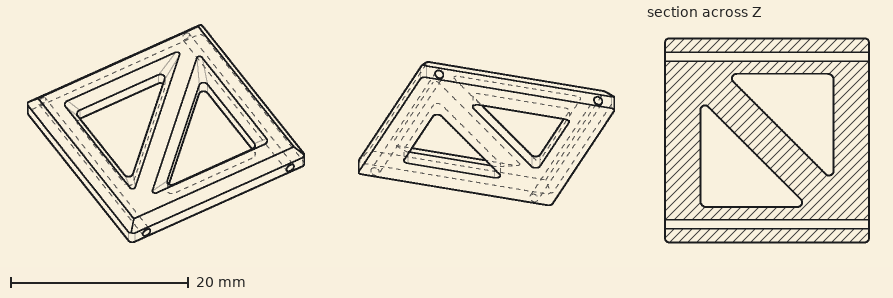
import cadquery as cq
import math

side = 23
height = 2.7
top_side = 21.0
bevel_width = (side - top_side) / 2
bevel_height = 1.2
wall_height = height - bevel_height
frame_corner_radius = 0.5

opening_half_side = 8.49
rib_width = 2.0
opening_corner_radius = 0.65
lower_tip_radius = 0.5
upper_tip_radius = 0.32

position_tolerance = 0.0002

hole_diameter = 1.0
hole_offset = 9.43
hole_height = 0.7


def rounded_triangle(inset, z, corner_radius, tip_radius):
    """Upper-right opening outline, with every edge moved inward by inset.

    The right-angled corner and the two acute tips have their own radii.
    """
    edge = opening_half_side - inset
    rib_intercept = math.sqrt(2) * (rib_width / 2 + inset)
    tip = rib_intercept - edge
    corners = [(edge, edge, z), (tip, edge, z), (edge, tip, z)]
    outline = cq.Wire.makePolygon([cq.Vector(*corner) for corner in corners], close=True)
    right_angle = [v for v in outline.Vertices() if abs(v.X - v.Y) < position_tolerance]
    outline = outline.fillet2D(corner_radius, right_angle)
    tips = [v for v in outline.Vertices() if min(v.X, v.Y) < tip + position_tolerance]
    return outline.fillet2D(tip_radius, tips)


def frame_blank():
    """Square plate with rounded upright corners, topped by a sharp-edged bevel."""
    plate = cq.Workplane("XY").rect(side, side).extrude(height).edges("|Z").fillet(frame_corner_radius)
    base = cq.Workplane("XY").rect(side, side).extrude(wall_height)
    bevel = (
        cq.Workplane("XY").workplane(offset=wall_height).rect(side, side)
        .workplane(offset=bevel_height).rect(top_side, top_side).loft(ruled=True)
    )
    return plate.intersect(base.union(bevel))


def opening():
    """Straight triangular hole that flares out towards the top face."""
    bottom, waist = [
        rounded_triangle(bevel_width, z, opening_corner_radius, lower_tip_radius)
        for z in (0, wall_height)
    ]
    top = rounded_triangle(0, height, opening_corner_radius, upper_tip_radius)
    straight = cq.Solid.makeLoft([bottom, waist], True)
    flare = cq.Solid.makeLoft([waist, top], True)
    return cq.Workplane(straight).union(cq.Workplane(flare))


def cross_holes():
    """Two round holes through the full width of the frame."""
    return (
        cq.Workplane("YZ", origin=(-side / 2, 0, 0))
        .pushPoints([(-hole_offset, hole_height), (hole_offset, hole_height)])
        .circle(hole_diameter / 2).extrude(side)
    )


upper_right_opening = opening()
lower_left_opening = upper_right_opening.rotate((0, 0, 0), (0, 0, 1), 180)
result = frame_blank().cut(upper_right_opening).cut(lower_left_opening).cut(cross_holes())